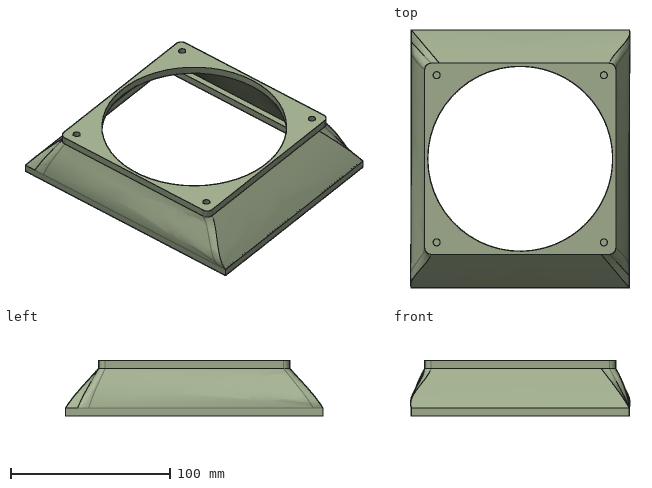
import cadquery as cq
import math

base_x = 137
base_y = 162
base_height = 5
base_rim = 5
opening_corner_radius = 4

total_height = 35
plate_size = 120
plate_height = 5
plate_corner_radius = 4
bore_diameter = 116
screw_hole_diameter = 4.4
screw_hole_pitch = 105

plate_bottom = total_height - plate_height
hood_wall = 1
flare_z = 7.5
flare_x = 0.82
waist_z = 17.5
short_seam_y = 66.4
middle_seam_y = 73.4
long_seam_y = 74.7

flare_spread = (0.96, 0.92)
waist_spread = (0.67, 0.54)


def base_frame():
    opening = (
        cq.Workplane("XY")
        .rect(base_x - 2 * base_rim, base_y - 2 * base_rim)
        .extrude(base_height)
        .edges("|Z")
        .fillet(opening_corner_radius)
    )
    return cq.Workplane("XY").rect(base_x, base_y).extrude(base_height).cut(opening)


def hood_section(z, spread_x, spread_y, corner_flare=0):
    """Closed outline at height z, blended between the base and plate outlines.

    The stations run up the +X side; turning them half a turn gives the -X side.
    """
    half_x = base_x / 2
    half_y = base_y / 2
    half_plate = plate_size / 2
    straight = half_plate - plate_corner_radius
    arc_middle = straight + plate_corner_radius * math.sqrt(0.5)
    twisted_corner_x = half_plate * base_x / base_y

    def blend(on_base, on_plate, x_share=spread_x, flare=0):
        x = on_plate[0] + (on_base[0] - on_plate[0]) * x_share + flare
        y = on_plate[1] + (on_base[1] - on_plate[1]) * spread_y
        return cq.Vector(x, y, z)

    twisted_corner = blend((half_x, -half_y), (twisted_corner_x, -half_plate), spread_y)
    twisted_start = blend((half_x, -middle_seam_y), (straight, -half_plate), spread_y)
    twisted_middle = blend((half_x, -(middle_seam_y + short_seam_y) / 2), (arc_middle, -arc_middle))
    twisted_end = blend((half_x, -short_seam_y), (half_plate, -straight))
    plain_start = blend((half_x, long_seam_y), (half_plate, straight), flare=corner_flare)
    plain_middle = blend((half_x, (long_seam_y + half_y) / 2), (arc_middle, arc_middle), flare=corner_flare)
    plain_end = blend((half_x, half_y), (straight, half_plate), flare=corner_flare)

    def corner(start, middle, end):
        if spread_x == 1:
            return cq.Edge.makeLine(start, end)
        return cq.Edge.makeThreePointArc(start, middle, end)

    opposite_corner = cq.Vector(-twisted_corner.x, -twisted_corner.y, z)
    half_outline = [
        cq.Edge.makeLine(twisted_corner, twisted_start),
        corner(twisted_start, twisted_middle, twisted_end),
        cq.Edge.makeLine(twisted_end, plain_start),
        corner(plain_start, plain_middle, plain_end),
        cq.Edge.makeLine(plain_end, opposite_corner),
    ]
    half_turn = cq.Location(cq.Vector(), cq.Vector(0, 0, 1), 180)
    return cq.Wire.assembleEdges(half_outline + [edge.moved(half_turn) for edge in half_outline])


def hood_outside():
    return cq.Workplane(
        cq.Solid.makeLoft(
            [
                hood_section(base_height, 1, 1),
                hood_section(flare_z, *flare_spread, flare_x),
                hood_section(waist_z, *waist_spread),
                hood_section(plate_bottom, 0, 0),
            ]
        )
    )


def hood_inside():
    seam_angle = math.degrees(math.atan2(base_y, base_x))
    return (
        cq.Workplane("XY")
        .workplane(offset=base_height)
        .rect(base_x - 2 * hood_wall, base_y - 2 * hood_wall)
        .workplane(offset=plate_bottom - base_height)
        .transformed(rotate=(0, 0, seam_angle))
        .circle(bore_diameter / 2)
        .loft()
    )


def top_plate():
    return (
        cq.Workplane("XY")
        .workplane(offset=plate_bottom)
        .rect(plate_size, plate_size)
        .extrude(plate_height)
        .edges("|Z")
        .fillet(plate_corner_radius)
        .faces(">Z")
        .workplane()
        .hole(bore_diameter)
        .faces(">Z")
        .workplane()
        .rect(screw_hole_pitch, screw_hole_pitch, forConstruction=True)
        .vertices()
        .hole(screw_hole_diameter)
    )


hood = hood_outside().cut(hood_inside())
result = base_frame().union(hood).union(top_plate())